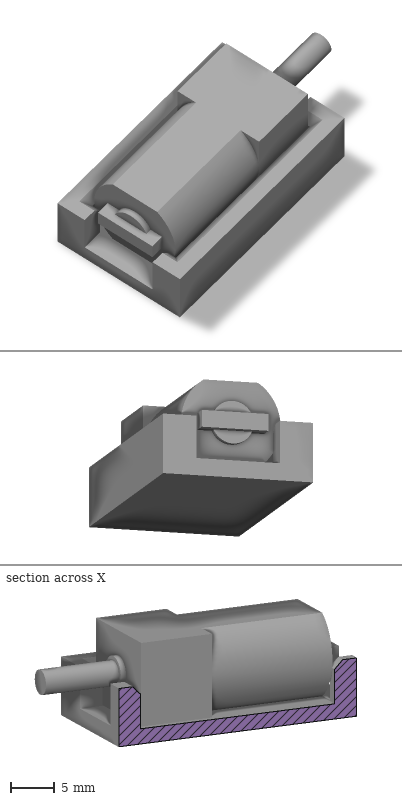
import cadquery as cq


motor_width = 12.0
motor_height = 10.0
gearbox_length = 9.0
can_diameter = 11.93
can_length = 15.4
shaft_diameter = 3.0
shaft_length = 10.0
collar_diameter = 4.0
collar_length = 0.67
hub_diameter = 5.0
hub_length = 0.8
terminal_width = 8.0
terminal_thickness = 2.0
terminal_length = 1.8

slot_floor = 2.02
rim_width = 1.8
pocket_chamfer = 1.05
clearance = 0.15
terminal_slot_width = 10.0
shaft_slot_width = 8.0

wall_thickness = rim_width + pocket_chamfer
motor_length = gearbox_length + can_length
motor_front = wall_thickness + clearance
gearbox_front = motor_front + can_length
motor_back = motor_front + motor_length
axis_height = slot_floor + motor_height / 2
holder_width = motor_width + 2 * motor_front
holder_length = motor_length + 2 * motor_front
holder_height = axis_height
holder_middle = holder_length / 2
pocket_floor = slot_floor - clearance
slot_depth = holder_height - slot_floor


def box_along_y(width, height, y_start, length, z_bottom):
    """Box centred on X = 0."""
    return cq.Workplane("XY").box(width, length, height, centered=(True, False, False)).translate(
        (0, y_start, z_bottom)
    )


def cylinder_along_y(diameter, y_start, length):
    """Cylinder on the shaft axis, running toward +Y."""
    return cq.Workplane(
        cq.Solid.makeCylinder(
            diameter / 2, length, cq.Vector(0, y_start, axis_height), cq.Vector(0, 1, 0)
        )
    )


def make_pocket():
    """Straight-walled cavity with a bevelled mouth."""
    cavity_width = holder_width - 2 * wall_thickness
    cavity_length = holder_length - 2 * wall_thickness
    cavity = box_along_y(
        cavity_width, holder_height - pocket_floor, wall_thickness, cavity_length, pocket_floor
    )
    mouth = (
        cq.Workplane("XY", origin=(0, holder_middle, holder_height - pocket_chamfer))
        .rect(cavity_width, cavity_length)
        .workplane(offset=pocket_chamfer)
        .rect(holder_width - 2 * rim_width, holder_length - 2 * rim_width)
        .loft(ruled=True)
    )
    return cavity.union(mouth)


def make_holder():
    """Open tray with a slot through each end wall."""
    block = box_along_y(holder_width, holder_height, 0, holder_length, 0)
    terminal_slot = box_along_y(terminal_slot_width, slot_depth, 0, holder_middle, slot_floor)
    shaft_slot = box_along_y(
        shaft_slot_width, slot_depth, holder_middle, holder_length - holder_middle, slot_floor
    )
    return block.cut(make_pocket()).cut(terminal_slot).cut(shaft_slot)


def make_can():
    """Round motor can with flats on its top and bottom."""
    flats = box_along_y(motor_width, motor_height, motor_front, can_length, slot_floor)
    return cylinder_along_y(can_diameter, motor_front, can_length).intersect(flats)


def make_motor():
    """Can, gearbox, shaft and terminal bar as one body."""
    gearbox = box_along_y(motor_width, motor_height, gearbox_front, gearbox_length, slot_floor)
    collar = cylinder_along_y(collar_diameter, motor_back, collar_length)
    shaft = cylinder_along_y(shaft_diameter, motor_back, shaft_length)
    hub = cylinder_along_y(hub_diameter, motor_front - hub_length, hub_length)
    terminal_bar = box_along_y(
        terminal_width,
        terminal_thickness,
        motor_front - terminal_length,
        terminal_length,
        axis_height - terminal_thickness / 2,
    )
    return make_can().union(gearbox).union(collar).union(shaft).union(hub).union(terminal_bar)


holder = make_holder()
motor = make_motor()
result = cq.Compound.makeCompound([holder.solids().val(), motor.solids().val()])